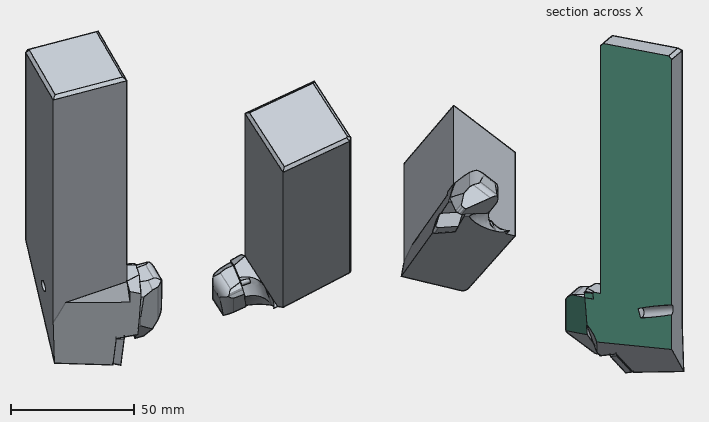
import cadquery as cq
big = 181.5

shank = 32.0
shank_top = 151.2
chamfer = 1.4

tip = cq.Vector(37.7, 27.0, -1.4)
flank_normal = cq.Vector(-1.25, -0.09, -1.0).normalized()
side_normal = cq.Vector(1.0, -0.116, 0.068).normalized()
rake_normal = cq.Vector(0.22, 1.0, -0.12).normalized()

insert_edge = 15.1
insert_thickness = 3.3
insert_overhang = 0.5
nose_radius = 0.68
pocket_margin = 4.5

boss_top = 40.2
boss_depth = 12.1
seat_point = cq.Vector(24.3, 37.0, 15.5)
seat_normal = cq.Vector(0.16, 1.0, -0.08).normalized()

ledge_point = cq.Vector(shank, 0, 36.7)
ledge_normal = cq.Vector(2.4, -0.1, 1.0)
bevel_point = cq.Vector(shank, shank, boss_top)
bevel_normal = cq.Vector(1.0, 0.3, 1.0)

hollow_radius = 8.5
hollow_x = 9.8
hollow_waist = 34.2
hollow_undercut = 0.45
hollow_flare = 5.9

hole_start = cq.Vector(21.2, 0, 39.0)
hole_direction = cq.Vector(0.13, 1.0, -0.3).normalized()
hole_diameter = 4.4
hole_depth = 15.1

pin_x = 22.7
pin_z = 38.1
pin_radius = 1.2
pin_length = 3.8

clamp_top = 38.1
clamp_bottom = 8.6
clamp_left = 18.9
clamp_right = 36.6
clamp_crown = 48.2
clamp_root = shank
clamp_depth = 24.2
clamp_fillet = 0.9


def half_space(point, normal):
    """Large block on the side of the plane that the normal points to."""
    return cq.Workplane(cq.Plane(origin=point, normal=normal)).rect(2 * big, 2 * big).extrude(big)


def trim_to_tip(body, inset):
    """Cut a body along the flank and side planes, moved inwards by the inset."""
    for normal in (flank_normal, side_normal):
        body = body.cut(half_space(tip - normal * inset, normal))
    return body


def upward_edge(face_normal):
    """Direction of the cutting edge where a clearance face meets the rake plane."""
    direction = face_normal.cross(rake_normal).normalized()
    return direction if direction.z > 0 else direction * -1


def rhombus_prism(margin, height):
    """Insert outline from its lower face up, widened by a margin at the two cutting edges."""
    along_flank = upward_edge(flank_normal)
    along_side = upward_edge(side_normal)
    far = tip + (along_flank + along_side) * insert_edge - rake_normal * insert_thickness
    length = insert_edge + margin
    corners = [
        far,
        far - along_flank * length,
        far - (along_flank + along_side) * length,
        far - along_side * length,
    ]
    outline = cq.Wire.makePolygon(corners, close=True)
    return cq.Workplane(cq.Solid.extrudeLinear(outline, [], rake_normal * height))


def make_insert():
    """Sharp rhombus with clearance below its two cutting edges and a rounded nose."""
    blank = trim_to_tip(rhombus_prism(0, insert_thickness), 0)
    nose_middle = tip - rake_normal * (insert_thickness / 2)
    return blank.edges(cq.NearestToPointSelector(nose_middle.toTuple())).fillet(nose_radius)


def make_shank():
    """Square bar with a chamfered top and one chamfered corner, cut off along the flank."""
    body = cq.Workplane().box(shank, shank, shank_top, centered=False)
    body = body.edges("|Z and <X and <Y").chamfer(chamfer)
    body = body.faces(">Z").edges().chamfer(chamfer)
    return body.cut(half_space(tip - flank_normal * insert_overhang, flank_normal))


def make_nose():
    """Stretch beside the shank, sloping from the shank side down to the cutting corner."""
    block = cq.Workplane().box(shank, shank, boss_top, centered=False).translate((shank / 2, 0, 0))
    block = block.cut(half_space(ledge_point, ledge_normal))
    return trim_to_tip(block, insert_overhang)


def hollow():
    """Round hollow beside the boss: its wall is undercut below the waist and flares back above it."""
    waist_center = cq.Vector(hollow_x, shank + hollow_radius, hollow_waist)
    circle = cq.Wire.makeCircle(hollow_radius, waist_center, cq.Vector(0, 0, 1))
    rise = boss_top - hollow_waist
    sweeps = [
        cq.Vector(hollow_undercut * hollow_waist, 0, -hollow_waist),
        cq.Vector(0, 0, rise),
        cq.Vector(hollow_flare, 0, rise),
    ]
    cutter = cq.Workplane()
    for sweep in sweeps:
        cutter = cutter.add(cq.Solid.extrudeLinear(circle, [], sweep))
    return cutter.combine()


def make_boss():
    """Boss on the +Y side, cut to the clamp seat, the bevel and the hollow."""
    block = cq.Workplane().box(2 * shank, boss_depth, boss_top, centered=False).translate((0, shank, 0))
    block = block.cut(half_space(seat_point, seat_normal))
    block = block.cut(half_space(bevel_point, bevel_normal)).cut(hollow())
    return trim_to_tip(block, insert_overhang)


def make_hole():
    """Hole cutter that reaches as far outside the start point as it goes into the holder."""
    start = hole_start - hole_direction * hole_depth
    return cq.Workplane(cq.Solid.makeCylinder(hole_diameter / 2, 2 * hole_depth, start, hole_direction))


def make_pin():
    """Pin that stands in the boss and ends at the clamp seat."""
    offset = cq.Vector(pin_x, 0, pin_z) - seat_point
    seat_y = -offset.dot(seat_normal) / seat_normal.y
    end = cq.Vector(pin_x, seat_y, pin_z)
    return cq.Workplane(cq.Solid.makeCylinder(pin_radius, pin_length, end, seat_normal * -1))


def make_holder():
    """Shank, nose and boss in one piece, with the insert pocket and the holes."""
    body = make_shank().union(make_nose()).union(make_boss())
    body = body.cut(rhombus_prism(pocket_margin, big))
    return body.cut(make_hole()).cut(make_pin())


def clamp_front():
    """Faceted outline in the XZ plane: its lower left side runs along the flank."""
    outline = [
        (clamp_left, 25.0),
        (clamp_left, 34.0),
        (20.7, 36.7),
        (24.8, clamp_top),
        (31.5, clamp_top),
        (clamp_right, 32.5),
        (clamp_right, 18.1),
        (33.3, clamp_bottom),
        (31.0, clamp_bottom),
    ]
    base = cq.Workplane("XZ", origin=(0, clamp_root, 0))
    block = base.polyline(outline).close().extrude(-clamp_depth)
    return block.edges("|Y").fillet(clamp_fillet)


def clamp_side():
    """Outline in the YZ plane: rounded crown and a ramp down to the insert."""
    return (
        cq.Workplane("YZ")
        .moveTo(clamp_root, clamp_top)
        .lineTo(43.9, 37.4)
        .threePointArc((47.0, 35.5), (clamp_crown, 31.8))
        .lineTo(47.6, 22.0)
        .threePointArc((47.2, 19.5), (46.0, 17.8))
        .lineTo(38.4, clamp_bottom)
        .lineTo(clamp_root, clamp_bottom)
        .close()
        .extrude(2 * shank)
    )


def clamp_plan():
    """Outline in the XY plane: rounded crown and a tapered +X side."""
    return (
        cq.Workplane("XY")
        .moveTo(clamp_left, clamp_root)
        .lineTo(19.5, 44.2)
        .threePointArc((21.5, 47.2), (25.9, clamp_crown))
        .threePointArc((31.2, 47.5), (34.0, 44.8))
        .lineTo(clamp_right, 36.3)
        .lineTo(clamp_right, clamp_root)
        .close()
        .extrude(boss_top)
    )


def make_clamp():
    """Faceted head with a rounded crown, lying on the sloping seat of the boss."""
    body = clamp_front().intersect(clamp_side()).intersect(clamp_plan())
    body = trim_to_tip(body, insert_overhang)
    body = body.cut(half_space(bevel_point, bevel_normal))
    return body.cut(half_space(seat_point, -seat_normal))


holder = make_holder()
insert = make_insert()
clamp = make_clamp()
pin = make_pin()
result = cq.Compound.makeCompound([holder.val(), insert.val(), clamp.val(), pin.val()])